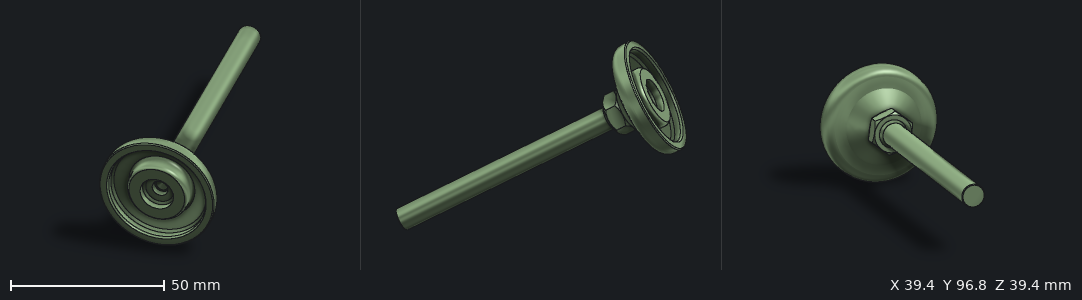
import cadquery as cq
import math

total_length = 96.8
rim_radius = 19.7

rim_chamfer = 0.4
shoulder_start = 3.0
shoulder_radius = 3.8
shoulder_sweep = math.radians(80)
hollow_mid_radius = 14.8
hollow_mid_height = 7.1
crown_start_radius = 13.0
crown_start_height = 7.6
crown_mid_radius = 9.5
crown_mid_height = 9.8
crown_top_radius = 6.4
plate_height = 11.3

recess_mouth_radius = 17.1
recess_wall_radius = 16.6
recess_mouth_chamfer_depth = 0.8
recess_wall_depth = 2.9
recess_edge_radius = 15.9
recess_edge_depth = 3.9
recess_depth = 5.8
boss_radius = 10.45
boss_round_width = 0.9
boss_round_height = 1.6
boss_offset = 0.4

bore_radius = 5.7
bore_depth = 2.9
bore_seat_radius = 4.8
bore_seat_depth = 3.6
shank_radius = 2.7
shank_hole_start = 3.9

shank_end = 6.3
dimple_radius = 2.1
dimple_depth = 1.45
hex_across_flats = 13.0
hex_height = 5.3
hex_turn = 22.0
hex_face_radius = 6.4
hex_chamfer_angle = math.radians(40)
rod_radius = 4.0
rod_end_chamfer = 0.3
neck_flare = 0.8
neck_height = 1.3

hex_top = plate_height + hex_height
neck_top = hex_top + neck_height


def revolve_about_y(profile):
    """Turn a closed profile in the XY plane through a full circle about Y."""
    return profile.close().revolve(360, (0, 0, 0), (0, 1, 0))


def make_foot_plate():
    """Domed plate with a hollow underside and a bored central boss."""
    def shoulder_point(angle):
        return (
            rim_radius - shoulder_radius * (1 - math.cos(angle)),
            shoulder_start + shoulder_radius * math.sin(angle),
        )

    round_radius = (boss_round_width**2 + boss_round_height**2) / (2 * boss_round_width)
    half_sweep = math.asin(boss_round_height / round_radius) / 2
    middle_inset = round_radius * (1 - math.cos(half_sweep))
    middle_rise = round_radius * math.sin(half_sweep)
    nose_end = boss_offset + boss_round_height
    root_start = recess_depth - boss_round_height
    nose_middle = (boss_radius - middle_inset, nose_end - middle_rise)
    root_middle = (boss_radius + middle_inset, root_start + middle_rise)
    profile = (
        cq.Workplane("XY")
        .moveTo(recess_mouth_radius, 0)
        .lineTo(rim_radius - rim_chamfer, 0)
        .lineTo(rim_radius, rim_chamfer)
        .lineTo(rim_radius, shoulder_start)
        .threePointArc(shoulder_point(shoulder_sweep / 2), shoulder_point(shoulder_sweep))
        .threePointArc((hollow_mid_radius, hollow_mid_height), (crown_start_radius, crown_start_height))
        .threePointArc((crown_mid_radius, crown_mid_height), (crown_top_radius, plate_height))
        .lineTo(shank_radius, plate_height)
        .lineTo(shank_radius, shank_hole_start)
        .lineTo(bore_seat_radius, bore_seat_depth)
        .lineTo(bore_radius, bore_depth)
        .lineTo(bore_radius, boss_offset)
        .lineTo(boss_radius - boss_round_width, boss_offset)
        .threePointArc(nose_middle, (boss_radius, nose_end))
        .lineTo(boss_radius, root_start)
        .threePointArc(root_middle, (boss_radius + boss_round_width, recess_depth))
        .lineTo(recess_edge_radius, recess_edge_depth)
        .lineTo(recess_wall_radius, recess_wall_depth)
        .lineTo(recess_wall_radius, recess_mouth_chamfer_depth)
    )
    return revolve_about_y(profile)


def make_hexagon():
    """Hexagon with conically chamfered corners on both faces."""
    corner_radius = hex_across_flats / 2 / math.cos(math.pi / 6)
    chamfer_height = (corner_radius - hex_face_radius) * math.tan(hex_chamfer_angle)
    hexagon = (
        cq.Workplane("XZ", origin=(0, hex_top, 0))
        .polygon(6, 2 * corner_radius)
        .extrude(hex_height)
        .rotate((0, 0, 0), (0, 1, 0), hex_turn)
    )
    chamfer_envelope = revolve_about_y(
        cq.Workplane("XY")
        .moveTo(0, plate_height)
        .lineTo(hex_face_radius, plate_height)
        .lineTo(corner_radius, plate_height + chamfer_height)
        .lineTo(corner_radius, hex_top - chamfer_height)
        .lineTo(hex_face_radius, hex_top)
        .lineTo(0, hex_top)
    )
    return hexagon.intersect(chamfer_envelope)


def make_stem():
    """Rod, hexagon and shank as one piece, with a conical dimple in the shank end."""
    rod_and_shank = revolve_about_y(
        cq.Workplane("XY")
        .moveTo(0, shank_end + dimple_depth)
        .lineTo(dimple_radius, shank_end)
        .lineTo(shank_radius, shank_end)
        .lineTo(shank_radius, hex_top)
        .lineTo(rod_radius + neck_flare, hex_top)
        .lineTo(rod_radius, neck_top)
        .lineTo(rod_radius, total_length - rod_end_chamfer)
        .lineTo(rod_radius - rod_end_chamfer, total_length)
        .lineTo(0, total_length)
    )
    return rod_and_shank.union(make_hexagon())


foot_plate = make_foot_plate()
stem = make_stem()
result = cq.Compound.makeCompound([foot_plate.val(), stem.val()])